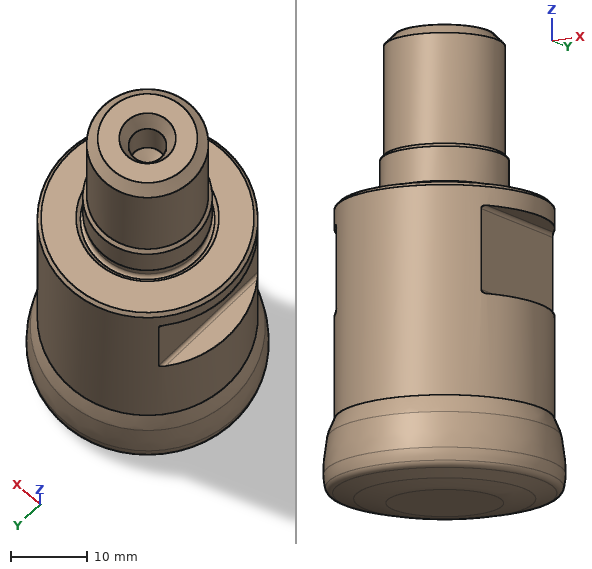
import cadquery as cq
import math

TOTAL_HEIGHT = 63.0

BODY_RADIUS = 14.5
BODY_TOP = 40.0
BODY_CHAMFER = 0.5
FOOT_TOP = 11.15
FOOT_SHOULDER_RADIUS = 15.45
FOOT_SHOULDER_HEIGHT = 8.7
FOOT_RADIUS = 15.95
FOOT_WIDEST_HEIGHT = 3.8
RIM_RADIUS = 15.7
RIM_HEIGHT = 2.1
DOME_RADIUS = 14.75
DOME_HEIGHT = 1.3
DOME_CONE_RADIUS = 12.0
DOME_CONE_HEIGHT = 0.55

FLAT_DISTANCE = 10.95
FLAT_BOTTOM = 25.1
FLAT_TOP = 37.0
FLAT_FILLET = 0.5

SEAT_RADIUS = 8.8
SEAT_CHAMFER = 0.55
SEAT_DEPTH = 12.6

STUD_RADIUS = 16.0 / 2
STUD_TIP_RADIUS = 6.55
COLLAR_RADIUS = 17.0 / 2
COLLAR_TOP = 46.1
COLLAR_BOTTOM = 41.45
NECK_RADIUS = 16.5 / 2
NECK_FILLET = SEAT_RADIUS - NECK_RADIUS

HOLE_RADIUS = 5.0 / 2
HOLE_MOUTH_RADIUS = 3.7
HOLE_DEPTH = 7.55
COUNTERSINK_HALF_ANGLE = math.radians(30)
DRILL_TIP_HALF_ANGLE = math.radians(59)

SEAT_BOTTOM = BODY_TOP - SEAT_DEPTH
FLANGE_TOP = BODY_TOP - SEAT_CHAMFER


def revolve(outline):
    """Turn a closed (radius, height) outline once around the Z axis."""
    return outline.close().revolve(360, (0, 0, 0), (0, 1, 0))


def make_housing_blank():
    outline = (
        cq.Workplane("XZ")
        .moveTo(0, BODY_TOP)
        .lineTo(BODY_RADIUS - BODY_CHAMFER, BODY_TOP)
        .lineTo(BODY_RADIUS, BODY_TOP - BODY_CHAMFER)
        .lineTo(BODY_RADIUS, FOOT_TOP)
    )
    side_drop = FOOT_WIDEST_HEIGHT - FOOT_SHOULDER_HEIGHT
    side_bulge = FOOT_RADIUS - FOOT_SHOULDER_RADIUS
    shoulder_slope = 2 * math.atan2(side_bulge, -side_drop)
    shoulder_chord = math.hypot(FOOT_SHOULDER_RADIUS - BODY_RADIUS, FOOT_TOP - FOOT_SHOULDER_HEIGHT)
    chord_slope = math.atan2(FOOT_SHOULDER_RADIUS - BODY_RADIUS, FOOT_TOP - FOOT_SHOULDER_HEIGHT)
    shoulder_sagitta = shoulder_chord / 2 * math.tan((chord_slope - shoulder_slope) / 2)
    side_chord = math.hypot(side_bulge, side_drop)
    side_sagitta = side_chord / 2 * math.tan(shoulder_slope / 4)
    outline = (
        outline
        .sagittaArc((FOOT_SHOULDER_RADIUS, FOOT_SHOULDER_HEIGHT), shoulder_sagitta)
        .sagittaArc((FOOT_RADIUS, FOOT_WIDEST_HEIGHT), side_sagitta)
        .tangentArcPoint((RIM_RADIUS, RIM_HEIGHT), relative=False)
        .tangentArcPoint((DOME_RADIUS, DOME_HEIGHT), relative=False)
        .lineTo(DOME_CONE_RADIUS, DOME_CONE_HEIGHT)
    )
    cone_angle = math.atan2(DOME_HEIGHT - DOME_CONE_HEIGHT, DOME_RADIUS - DOME_CONE_RADIUS)
    bottom_flat_radius = DOME_CONE_RADIUS - DOME_CONE_HEIGHT / math.tan(cone_angle / 2)
    outline = outline.tangentArcPoint((bottom_flat_radius, 0), relative=False).lineTo(0, 0)
    return revolve(outline)


def make_seat_cutter():
    return revolve(
        cq.Workplane("XZ")
        .moveTo(0, SEAT_BOTTOM)
        .lineTo(SEAT_RADIUS, SEAT_BOTTOM)
        .lineTo(SEAT_RADIUS, FLANGE_TOP)
        .lineTo(SEAT_RADIUS + SEAT_CHAMFER, BODY_TOP)
        .lineTo(0, BODY_TOP)
    )


def make_flat_cutter(side):
    """Block that cuts one wrench flat; side is -1 or +1 along X."""
    block_depth = FOOT_RADIUS - FLAT_DISTANCE
    inner_face = "<X" if side > 0 else ">X"
    return (
        cq.Workplane("XY")
        .box(block_depth, 2 * FOOT_RADIUS, FLAT_TOP - FLAT_BOTTOM)
        .translate((side * (FLAT_DISTANCE + block_depth / 2), 0, (FLAT_TOP + FLAT_BOTTOM) / 2))
        .faces(inner_face)
        .edges("|Y")
        .fillet(FLAT_FILLET)
    )


def make_housing():
    body = make_housing_blank().cut(make_seat_cutter())
    for side in (-1, 1):
        body = body.cut(make_flat_cutter(side))
    return body


def make_stud_blank():
    return revolve(
        cq.Workplane("XZ")
        .moveTo(0, SEAT_BOTTOM)
        .lineTo(SEAT_RADIUS, SEAT_BOTTOM)
        .lineTo(SEAT_RADIUS, FLANGE_TOP)
        .radiusArc((NECK_RADIUS, FLANGE_TOP + NECK_FILLET), NECK_FILLET)
        .lineTo(NECK_RADIUS, COLLAR_BOTTOM - (COLLAR_RADIUS - NECK_RADIUS))
        .lineTo(COLLAR_RADIUS, COLLAR_BOTTOM)
        .lineTo(COLLAR_RADIUS, COLLAR_TOP)
        .lineTo(STUD_RADIUS, COLLAR_TOP + COLLAR_RADIUS - STUD_RADIUS)
        .lineTo(STUD_RADIUS, TOTAL_HEIGHT - (STUD_RADIUS - STUD_TIP_RADIUS))
        .lineTo(STUD_TIP_RADIUS, TOTAL_HEIGHT)
        .lineTo(0, TOTAL_HEIGHT)
    )


def make_centre_hole_cutter():
    countersink_depth = (HOLE_MOUTH_RADIUS - HOLE_RADIUS) / math.tan(COUNTERSINK_HALF_ANGLE)
    tip_length = HOLE_RADIUS / math.tan(DRILL_TIP_HALF_ANGLE)
    hole_end = TOTAL_HEIGHT - HOLE_DEPTH
    return revolve(
        cq.Workplane("XZ")
        .moveTo(0, hole_end - tip_length)
        .lineTo(HOLE_RADIUS, hole_end)
        .lineTo(HOLE_RADIUS, TOTAL_HEIGHT - countersink_depth)
        .lineTo(HOLE_MOUTH_RADIUS, TOTAL_HEIGHT)
        .lineTo(0, TOTAL_HEIGHT)
    )


housing = make_housing()
stud = make_stud_blank().cut(make_centre_hole_cutter())

result = cq.Compound.makeCompound([housing.val(), stud.val()])